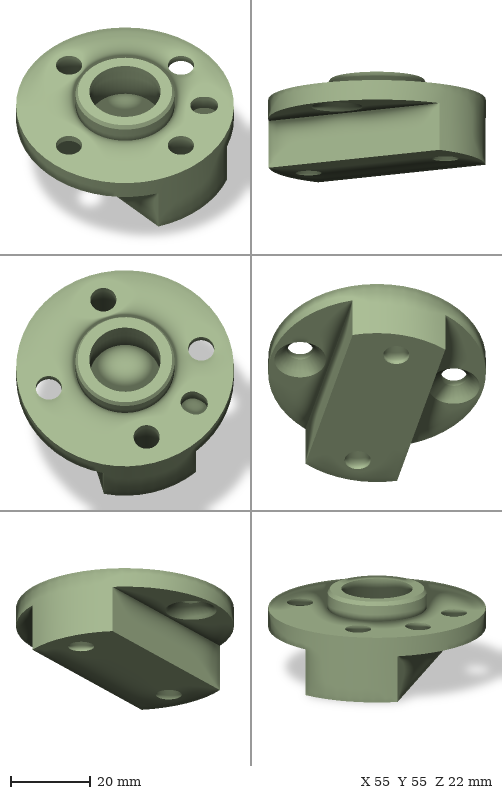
import cadquery as cq
import math

flange_diameter = 55.0
flange_thickness = 5.0

base_height = 12.0
base_front_y = -12.5
base_back_y = 11.5

boss_diameter = 25.0
boss_height = 5.0
boss_chamfer_height = 1.0
boss_chamfer_angle = 30.0

bore_diameter = 18.0
bore_depth = 10.0

hole_diameter = 6.6
hole_circle_radius = 20.0
through_base_angles = (0, 180)
countersunk_angles = (90, 270)
countersink_diameter = 13.0
countersink_angle = 90.0

slot_angle = 45.0
slot_length = 7.0
slot_width = 6.0
slot_depth = 4.0

flange_top_z = base_height + flange_thickness
boss_top_z = flange_top_z + boss_height


def cylinder(diameter, bottom_z, height, x=0.0, y=0.0):
    """Upright cylinder standing on bottom_z."""
    return cq.Workplane("XY").workplane(offset=bottom_z).center(x, y).circle(diameter / 2).extrude(height)


def on_hole_circle(angle):
    """X and Y of a point on the hole circle, angle in degrees from +X."""
    radians = math.radians(angle)
    return hole_circle_radius * math.cos(radians), hole_circle_radius * math.sin(radians)


def make_base():
    """Round base with a flat on its front and back."""
    width = base_back_y - base_front_y
    slab = cq.Workplane("XY").box(flange_diameter, width, base_height, centered=(True, False, False))
    return cylinder(flange_diameter, 0, base_height).intersect(slab.translate((0, base_front_y, 0)))


def make_boss():
    """Boss with a steep chamfer around its top edge."""
    boss = cylinder(boss_diameter, flange_top_z, boss_height)
    chamfer_width = boss_chamfer_height * math.tan(math.radians(boss_chamfer_angle))
    return boss.faces(">Z").edges().chamfer(boss_chamfer_height, chamfer_width)


def cut_bore(body):
    return body.cut(cylinder(bore_diameter, boss_top_z - bore_depth, bore_depth))


def cut_through_holes(body):
    for angle in through_base_angles + countersunk_angles:
        x, y = on_hole_circle(angle)
        body = body.cut(cylinder(hole_diameter, 0, flange_top_z, x, y))
    return body


def cut_countersinks(body):
    """Conical seats opening downward at the underside of the flange."""
    widening = (countersink_diameter - hole_diameter) / 2
    depth = widening / math.tan(math.radians(countersink_angle / 2))
    for angle in countersunk_angles:
        x, y = on_hole_circle(angle)
        cone = cq.Solid.makeCone(
            countersink_diameter / 2, hole_diameter / 2, depth, pnt=cq.Vector(x, y, base_height)
        )
        body = body.cut(cq.Workplane(cone))
    return body


def cut_locating_slot(body):
    x, y = on_hole_circle(slot_angle)
    slot = (
        cq.Workplane("XY")
        .workplane(offset=flange_top_z - slot_depth)
        .center(x, y)
        .slot2D(slot_length, slot_width, slot_angle)
        .extrude(slot_depth)
    )
    return body.cut(slot)


flange = cylinder(flange_diameter, base_height, flange_thickness)
body = make_base().union(flange).union(make_boss())
body = cut_bore(body)
body = cut_through_holes(body)
body = cut_countersinks(body)
result = cut_locating_slot(body)